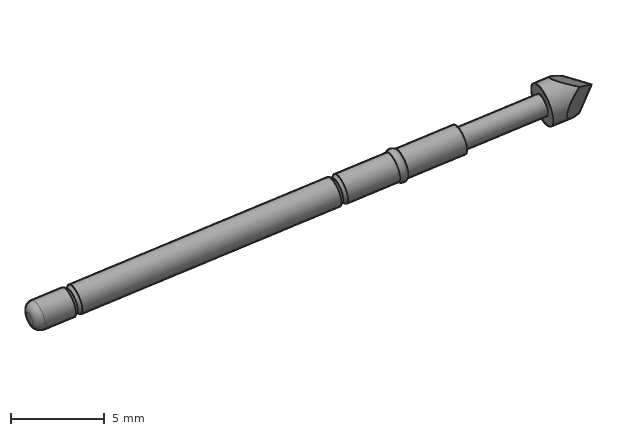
import cadquery as cq
import math

total_length = 34.0

head_diameter = 2.5
head_length = 3.0
tip_half_angle = 30.0
facet_count = 3
plunger_diameter = 1.3
plunger_length = 5.0

barrel_diameter = 1.72
end_fillet = 0.5
press_ring_diameter = 1.95
press_ring_width = 0.5
press_ring_from_tip = 11.8
groove_depth = 0.17
groove_width = 0.4
grooves_from_tip = (15.4, 31.45)

head_base = total_length - head_length
barrel_length = head_base - plunger_length


def rod(diameter, start, length):
    """Cylinder on the Y axis, from Y = start towards +Y."""
    base = cq.Workplane("XZ", origin=(0, start, 0))
    return base.circle(diameter / 2).extrude(-length)


def revolved(profile):
    """Full turn about the Y axis of a closed XY profile."""
    return profile.revolve(360, (0, 0, 0), (0, 1, 0))


def make_head():
    """Cylinder cut to a three-sided pyramid, one facet facing +X."""
    blank = rod(head_diameter, head_base, head_length)
    inradius = head_length * math.tan(math.radians(tip_half_angle))
    circumradius = inradius / math.cos(math.pi / facet_count)
    corners = []
    for index in range(facet_count):
        angle = (2 * index + 1) * math.pi / facet_count
        corners.append((circumradius * math.cos(angle), circumradius * math.sin(angle)))
    corners_3d = [cq.Vector(x, head_base, z) for x, z in corners]
    apex = cq.Vector(0, total_length, 0)
    faces = [cq.Face.makeFromWires(cq.Wire.makePolygon(corners_3d, close=True))]
    for index in range(facet_count):
        facet = [corners_3d[index - 1], corners_3d[index], apex]
        faces.append(cq.Face.makeFromWires(cq.Wire.makePolygon(facet, close=True)))
    pyramid = cq.Solid.makeSolid(cq.Shell.makeShell(faces))
    return blank.intersect(cq.Workplane(pyramid))


def make_press_ring():
    """Ring around the barrel with a convex, arc-shaped rim."""
    middle = total_length - press_ring_from_tip
    rim_start = middle - press_ring_width / 2
    rim_end = middle + press_ring_width / 2
    barrel_radius = barrel_diameter / 2
    profile = (
        cq.Workplane("XY")
        .moveTo(0, rim_start)
        .lineTo(barrel_radius, rim_start)
        .threePointArc((press_ring_diameter / 2, middle), (barrel_radius, rim_end))
        .lineTo(0, rim_end)
        .close()
    )
    return revolved(profile)


def make_groove(middle):
    """Cutter for a V groove around the barrel."""
    barrel_radius = barrel_diameter / 2
    profile = cq.Workplane("XY").polyline([
        (barrel_radius, middle - groove_width / 2),
        (barrel_radius - groove_depth, middle),
        (barrel_radius, middle + groove_width / 2),
    ]).close()
    return revolved(profile)


def make_barrel():
    """Barrel with a rounded closed end, a press ring and two V grooves."""
    barrel = rod(barrel_diameter, 0, barrel_length)
    barrel = barrel.faces("<Y").edges().fillet(end_fillet)
    barrel = barrel.union(make_press_ring())
    for distance in grooves_from_tip:
        barrel = barrel.cut(make_groove(total_length - distance))
    return barrel


plunger = rod(plunger_diameter, barrel_length, plunger_length)
result = make_barrel().union(plunger).union(make_head())